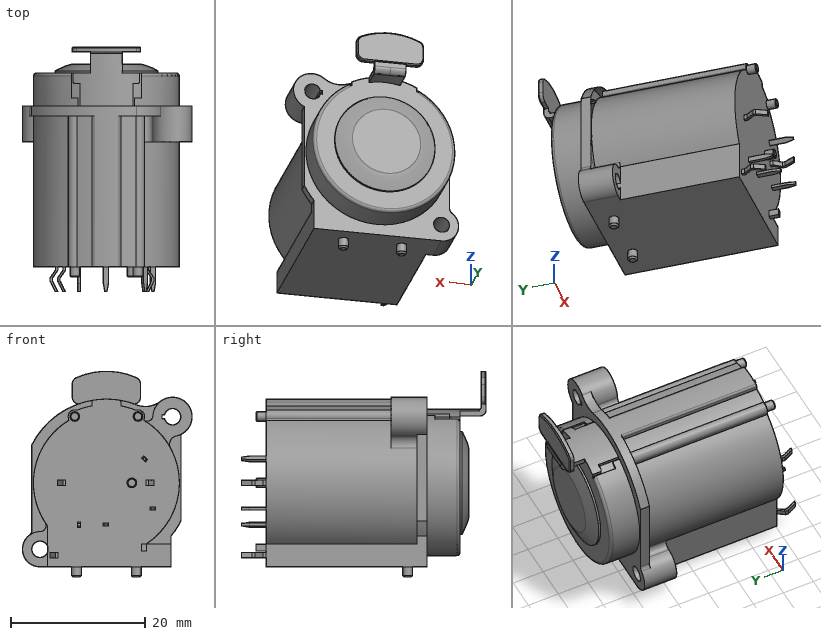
import cadquery as cq
import math


body_length = 24.0
flange_thickness = 1.5
ear_length = 5.35
nose_length = 4.9
peg_length = 1.5
contact_length = 3.7

barrel_radius = 10.87
flange_radius = 12.48
flange_half_width = 11.13
base_left = -8.75
base_right = 9.65
base_bottom = -12.5
base_step_height = -9.12

upper_ear = (9.85, 9.85)
lower_ear = (-9.9, -9.9)
upper_ear_radius = 2.92
lower_ear_radius = upper_ear_radius - 0.3
ear_hole_diameter = 2.4
ear_blend_radius = 0.88
outer_blend_radius = 1.25
flange_blend_radius = 3.65
ear_notch_depth = 0.33
ear_notch_height = 0.6

crown_half_width = 2.15
crown_edge_radius = 0.33
shoulder_radius = 11.68
peg_rib_radius = 1.0
peg_rib_wall_drop = 0.33
top_peg_x = 4.7
top_peg_z = 9.9

rear_peg_diameter = 1.42
peg_chamfer = 0.15
axis_peg_x = 3.8
bottom_peg_diameter = 1.5
bottom_peg_x = 4.45
bottom_peg_y = -2.92
bottom_peg_length = 1.55
bottom_peg_chamfer = 0.25
key_peg_left = 5.25
key_peg_width = 0.73
key_peg_height = 1.05

nose_edge_radius = 0.47
insert_radius = 7.65
insert_face_radius = 5.2
insert_rim = 0.33
insert_middle_radius = 6.55
insert_middle_height = 0.88
insert_height = 1.3

latch_outer_radius = 11.0
latch_inner_radius = 10.2
stem_half_width = 2.37
wing_half_width = 4.95
wing_length = 1.57
wing_corner_radius = 0.3
shank_half_width = 3.95
slot_floor_radius = 10.6
slot_half_width = 5.2
slot_neck_half_width = 4.2
slot_neck_length = 1.13
tab_front = 8.8
tab_thickness = 0.75
tab_half_width = 5.1
tab_top = 16.65
tab_bottom = 11.7
tab_top_radius = 10.95
tab_corner_radius = 1.1
tab_edge_chamfer = 0.2
bend_radius = 1.0
bend_inner_radius = 0.25

blade_width = 0.8
blade_thickness = 0.45
blade_tip_width = 0.33
blade_taper = 1.25
spring_thickness = 0.4
spring_offset = 0.8
spring_straight = 0.47
spring_knee_start = 1.65
spring_knee_end = 2.08


def plane_at(y):
    """Sketch plane normal to the axis; extrusions run towards -Y."""
    return cq.Workplane("XZ", origin=(0, y, 0))


def disc(radius, y, length, center=(0, 0)):
    return plane_at(y).center(*center).circle(radius).extrude(length)


def bar(x_min, x_max, z_min, z_max, y, length):
    width = x_max - x_min
    height = z_max - z_min
    return plane_at(y).center(x_min, z_min).rect(width, height, centered=False).extrude(length)


def blend_center(circle_radius, ear, ear_radius, blend_radius, side):
    """Centre of the blend arc tangent to an axial circle and to an ear circle."""
    reach = circle_radius + blend_radius
    distance = math.hypot(*ear)
    ear_reach = ear_radius + blend_radius
    cosine = (reach**2 + distance**2 - ear_reach**2) / (2 * reach * distance)
    angle = math.atan2(ear[1], ear[0]) + side * math.acos(cosine)
    return (reach * math.cos(angle), reach * math.sin(angle))


def web(points, blends, blend_radius, y, length):
    """Plate between the barrel and an ear, hollowed by its blend arcs."""
    plate = plane_at(y).polyline(points).close().extrude(length)
    for center in blends:
        plate = plate.cut(disc(blend_radius, y, length, center))
    return plate


def make_flange():
    height = 2 * flange_radius
    plate = disc(flange_radius, 0, flange_thickness).intersect(
        bar(-flange_half_width, flange_half_width, -height, height, 0, flange_thickness)
    )
    plate = plate.union(bar(base_left, base_right, base_bottom, 0, 0, flange_thickness))

    upper_blend = blend_center(flange_radius, upper_ear, upper_ear_radius, flange_blend_radius, 1)
    upper_points = [
        (0, 0),
        upper_blend,
        upper_ear,
        (flange_half_width, upper_ear[1]),
        (flange_half_width, 0),
    ]
    plate = plate.union(web(upper_points, [upper_blend], flange_blend_radius, 0, flange_thickness))

    blend_x = -flange_half_width - ear_blend_radius
    blend_rise = math.sqrt((lower_ear_radius + ear_blend_radius) ** 2 - (blend_x - lower_ear[0]) ** 2)
    lower_blend = (blend_x, lower_ear[1] + blend_rise)
    lower_points = [
        (0, 0),
        (-flange_half_width, 0),
        (-flange_half_width, lower_blend[1]),
        lower_blend,
        lower_ear,
        (base_left, lower_ear[1]),
    ]
    return plate.union(web(lower_points, [lower_blend], ear_blend_radius, 0, flange_thickness))


def make_ears():
    ears = disc(upper_ear_radius, 0, ear_length, upper_ear)
    ears = ears.union(disc(lower_ear_radius, 0, ear_length, lower_ear))
    ears = ears.union(bar(lower_ear[0], base_left, base_bottom, lower_ear[1], 0, ear_length))

    inner_blend = blend_center(barrel_radius, upper_ear, upper_ear_radius, ear_blend_radius, 1)
    outer_blend = blend_center(barrel_radius, upper_ear, upper_ear_radius, outer_blend_radius, -1)
    inner_points = [(0, 0), inner_blend, upper_ear]
    ears = ears.union(web(inner_points, [inner_blend], ear_blend_radius, 0, ear_length))
    outer_points = [(0, 0), outer_blend, upper_ear]
    ears = ears.union(web(outer_points, [outer_blend], outer_blend_radius, 0, ear_length))

    lower_blend = blend_center(barrel_radius, lower_ear, lower_ear_radius, ear_blend_radius, -1)
    lower_points = [(0, 0), lower_blend, lower_ear, (base_left, lower_ear[1])]
    return ears.union(web(lower_points, [lower_blend], ear_blend_radius, 0, ear_length))


def make_body():
    start = -flange_thickness
    length = body_length - flange_thickness
    body = disc(barrel_radius, start, length)
    body = body.union(bar(base_left, 0, base_bottom, 0, start, length))
    body = body.union(bar(0, base_right, base_bottom, base_step_height, start, length))

    shoulder = bar(-top_peg_x, top_peg_x, 0, flange_radius, start, length)
    body = body.union(disc(shoulder_radius, start, length).intersect(shoulder))
    crown_sides = bar(-crown_half_width, crown_half_width, 0, flange_radius, start, length)
    crown = disc(flange_radius, start, length).intersect(crown_sides)
    crown_edge_height = math.sqrt(flange_radius**2 - crown_half_width**2)
    for x in (-crown_half_width, crown_half_width):
        edge = cq.selectors.NearestToPointSelector((x, start - length / 2, crown_edge_height))
        crown = crown.edges(edge).fillet(crown_edge_radius)
    body = body.union(crown)

    wall_offset = math.sqrt(peg_rib_radius**2 - peg_rib_wall_drop**2)
    wall_top = top_peg_z - peg_rib_wall_drop
    for x in (-top_peg_x, top_peg_x):
        body = body.union(disc(peg_rib_radius, start, length, (x, top_peg_z)))
        body = body.union(bar(x - wall_offset, x + wall_offset, 0, wall_top, start, length))
    return body


def make_nose():
    nose = disc(barrel_radius, nose_length, nose_length)
    nose = nose.faces(">Y").edges().fillet(nose_edge_radius)

    ring = disc(flange_radius, nose_length, nose_length).cut(
        disc(slot_floor_radius, nose_length, nose_length)
    )
    slot = bar(
        -slot_half_width, slot_half_width, 0, flange_radius, nose_length, nose_length - slot_neck_length
    )
    neck = bar(-slot_neck_half_width, slot_neck_half_width, 0, flange_radius, nose_length, nose_length)
    nose = nose.cut(ring.intersect(slot.union(neck)))

    insert = (
        cq.Workplane("XY")
        .lineTo(insert_radius, 0)
        .lineTo(insert_radius, nose_length + insert_rim)
        .threePointArc(
            (insert_middle_radius, nose_length + insert_middle_height),
            (insert_face_radius, nose_length + insert_height),
        )
        .lineTo(0, nose_length + insert_height)
        .close()
        .revolve(360, (0, 0, 0), (0, 1, 0))
    )
    return nose.union(insert)


def roller(radius, y, z):
    """Cylinder along X, as wide as the tab, that shapes a bend."""
    return cq.Workplane("YZ").center(y, z).circle(radius).extrude(tab_half_width, both=True)


def make_latch():
    plan = bar(-stem_half_width, stem_half_width, 0, flange_radius, tab_front, tab_front)
    wings = bar(-wing_half_width, wing_half_width, 0, flange_radius, nose_length, wing_length)
    plan = plan.union(wings.edges("|Z and <Y").fillet(wing_corner_radius))
    plan = plan.union(bar(-shank_half_width, shank_half_width, 0, flange_radius, nose_length, nose_length))
    ring = disc(latch_outer_radius, tab_front, tab_front).cut(
        disc(latch_inner_radius, tab_front, tab_front)
    )
    plate = ring.intersect(plan)

    stem_bottom = math.sqrt(latch_inner_radius**2 - stem_half_width**2)
    neck = bar(
        -stem_half_width, stem_half_width, stem_bottom, tab_bottom, tab_front, tab_thickness
    )
    corner = bar(
        -tab_half_width, tab_half_width, stem_bottom, stem_bottom + bend_radius, tab_front, bend_radius
    )
    roll = roller(bend_radius, tab_front - bend_radius, stem_bottom + bend_radius)

    bend_y = tab_front - tab_thickness
    strip_bottom = math.sqrt(latch_outer_radius**2 - stem_half_width**2)
    strip_top = latch_outer_radius + bend_inner_radius
    strip = bar(-stem_half_width, stem_half_width, strip_bottom, strip_top, bend_y, bend_inner_radius)
    strip = strip.cut(roller(bend_inner_radius, bend_y - bend_inner_radius, strip_top))

    shoulder_drop = tab_top_radius - math.sqrt(tab_top_radius**2 - tab_half_width**2)
    tab = (
        plane_at(tab_front)
        .moveTo(-tab_half_width, tab_bottom)
        .lineTo(-tab_half_width, tab_top - shoulder_drop)
        .threePointArc((0, tab_top), (tab_half_width, tab_top - shoulder_drop))
        .lineTo(tab_half_width, tab_bottom)
        .close()
        .extrude(tab_thickness)
        .edges("|Y")
        .fillet(tab_corner_radius)
        .faces(">Y")
        .chamfer(tab_edge_chamfer)
    )
    return tab.union(neck).union(plate).union(strip).cut(corner.cut(roll))


def make_pegs():
    rear = -body_length
    pegs = bar(
        key_peg_left, key_peg_left + key_peg_width,
        base_step_height - key_peg_height, base_step_height, rear, peg_length,
    )
    for center in ((-top_peg_x, top_peg_z), (top_peg_x, top_peg_z), (axis_peg_x, 0)):
        peg = disc(rear_peg_diameter / 2, rear, peg_length, center)
        pegs = pegs.union(peg.faces("<Y").chamfer(peg_chamfer))
    for x in (-bottom_peg_x, bottom_peg_x):
        peg = (
            cq.Workplane("XY", origin=(x, bottom_peg_y, base_bottom))
            .circle(bottom_peg_diameter / 2)
            .extrude(-bottom_peg_length)
            .faces("<Z")
            .chamfer(bottom_peg_chamfer)
        )
        pegs = pegs.union(peg)
    return pegs


def make_blade(x, z, turn):
    """Flat contact with a tapered tip; turn rotates its width out of the X direction."""
    half = blade_width / 2
    half_tip = blade_tip_width / 2
    taper_start = blade_taper - contact_length
    blade = (
        cq.Workplane("XY")
        .polyline([
            (-half, 0),
            (half, 0),
            (half, taper_start),
            (half_tip, -contact_length),
            (-half_tip, -contact_length),
            (-half, taper_start),
        ])
        .close()
        .extrude(blade_thickness / 2, both=True)
    )
    return blade.rotate((0, 0, 0), (0, 1, 0), turn).translate((x, -body_length, z))


def make_spring(x, z, side):
    """Kinked contact that bows out towards side (+1 or -1 along X)."""
    half = spring_thickness / 2
    knee = side * spring_offset
    path = [
        (0, 0),
        (0, -spring_straight),
        (knee, -spring_knee_start),
        (knee, -spring_knee_end),
        (0, -contact_length),
    ]
    edge = [(px - half, py) for px, py in path]
    opposite = [(px + half, py) for px, py in reversed(path)]
    spring = cq.Workplane("XY").polyline(edge + opposite).close().extrude(blade_width / 2, both=True)
    return spring.translate((x, -body_length, z))


blades = [(-0.07, -6.2, 0), (-4.05, -6.25, 90), (6.95, -3.83, 0), (5.7, 3.58, 45)]
springs = [(-6.28, 0, -1), (-7.4, -10.75, -1), (6.1, 0, 1)]

result = make_flange().union(make_ears())
for ear in (upper_ear, lower_ear):
    result = result.cut(disc(ear_hole_diameter / 2, 0, ear_length, ear))
notch_left = upper_ear[0] - ear_hole_diameter / 2 - ear_notch_depth
notch_bottom = upper_ear[1] - ear_notch_height / 2
result = result.cut(
    bar(notch_left, upper_ear[0], notch_bottom, notch_bottom + ear_notch_height, 0, ear_length)
)
result = result.union(make_body()).union(make_nose()).union(make_latch()).union(make_pegs())
for x, z, turn in blades:
    result = result.union(make_blade(x, z, turn))
for x, z, side in springs:
    result = result.union(make_spring(x, z, side))